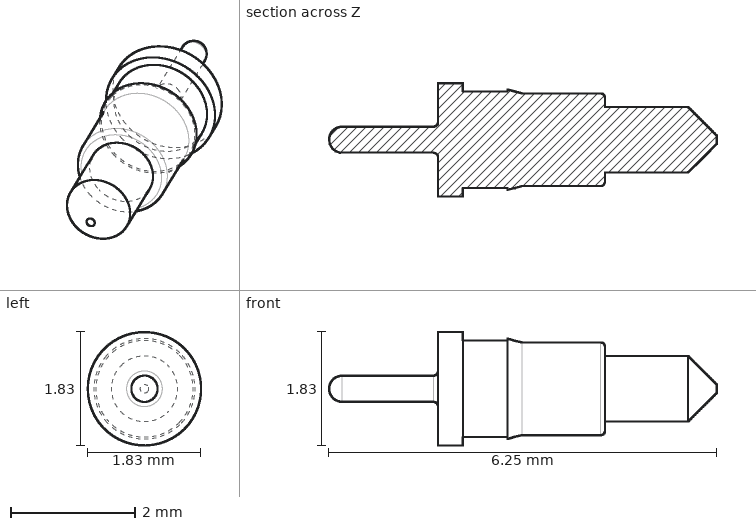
import cadquery as cq
import math

total_length = 6.25

tail_radius = 0.21
flange_diameter = 1.83
flange_radius = flange_diameter / 2
barrel_radius = 0.78
barb_radius = 0.81
sleeve_radius = 0.75
plunger_radius = 0.53
tip_radius = 0.07

flange_start = 1.755
flange_length = 0.4
barb_start = 2.875
barb_length = 0.24
sleeve_end = 4.45

root_fillet = 0.075
sleeve_fillet = 0.075

flange_end = flange_start + flange_length
barb_end = barb_start + barb_length
cone_length = plunger_radius - tip_radius
cone_start = total_length - cone_length
arc_offset = math.sqrt(0.5)

dome_mid = (tail_radius * (1 - arc_offset), tail_radius * arc_offset)
root_mid = (
    flange_start - root_fillet * (1 - arc_offset),
    tail_radius + root_fillet * (1 - arc_offset),
)
sleeve_mid = (
    sleeve_end - sleeve_fillet * (1 - arc_offset),
    sleeve_radius - sleeve_fillet * (1 - arc_offset),
)

profile = (
    cq.Workplane("XY")
    .moveTo(0, 0)
    .threePointArc(dome_mid, (tail_radius, tail_radius))
    .lineTo(flange_start - root_fillet, tail_radius)
    .threePointArc(root_mid, (flange_start, tail_radius + root_fillet))
    .lineTo(flange_start, flange_radius)
    .lineTo(flange_end, flange_radius)
    .lineTo(flange_end, barrel_radius)
    .lineTo(barb_start, barrel_radius)
    .lineTo(barb_start, barb_radius)
    .lineTo(barb_end, sleeve_radius)
    .lineTo(sleeve_end - sleeve_fillet, sleeve_radius)
    .threePointArc(sleeve_mid, (sleeve_end, sleeve_radius - sleeve_fillet))
    .lineTo(sleeve_end, plunger_radius)
    .lineTo(cone_start, plunger_radius)
    .lineTo(total_length, tip_radius)
    .lineTo(total_length, 0)
    .close()
)

pin = profile.revolve(360, (0, 0, 0), (1, 0, 0))
result = pin.translate((-total_length / 2, 0, 0))